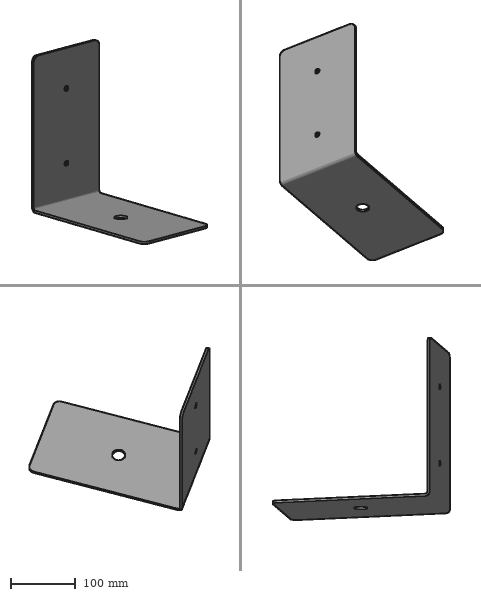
import cadquery as cq

leg_length = 250.0
width = 140.0
thickness = 4.0
inner_bend_radius = 3.5
outer_bend_radius = inner_bend_radius + thickness
corner_radius = 10.0

base_hole_diameter = 20.0
wall_hole_diameter = 8.0
wall_hole_spacing = 120.0
leg_middle = leg_length / 2


def bent_sheet():
    """L-shaped sheet with its outer bend along the Y axis, centred on Y = 0."""
    profile = (
        cq.Workplane("XZ")
        .polyline([
            (0, 0),
            (leg_length, 0),
            (leg_length, thickness),
            (thickness, thickness),
            (thickness, leg_length),
            (0, leg_length),
        ])
        .close()
    )
    sheet = profile.extrude(width / 2, both=True)
    sheet = sheet.edges(cq.selectors.NearestToPointSelector((0, 0, 0))).fillet(outer_bend_radius)
    inner_corner = cq.selectors.NearestToPointSelector((thickness, 0, thickness))
    return sheet.edges(inner_corner).fillet(inner_bend_radius)


def round_free_corners(sheet):
    """Round the two corners at the free end of each leg."""
    sheet = sheet.faces(">X").edges("|Z").fillet(corner_radius)
    return sheet.faces(">Z").edges("|X").fillet(corner_radius)


def base_hole():
    """Cutter for the large hole in the middle of the horizontal leg."""
    return cq.Workplane("XY").center(leg_middle, 0).circle(base_hole_diameter / 2).extrude(thickness)


def wall_holes():
    """Cutter for the two small holes, placed evenly about the middle of the upright leg."""
    return (
        cq.Workplane("YZ")
        .center(0, leg_middle)
        .pushPoints([(0, -wall_hole_spacing / 2), (0, wall_hole_spacing / 2)])
        .circle(wall_hole_diameter / 2)
        .extrude(thickness)
    )


result = round_free_corners(bent_sheet()).cut(base_hole()).cut(wall_holes())